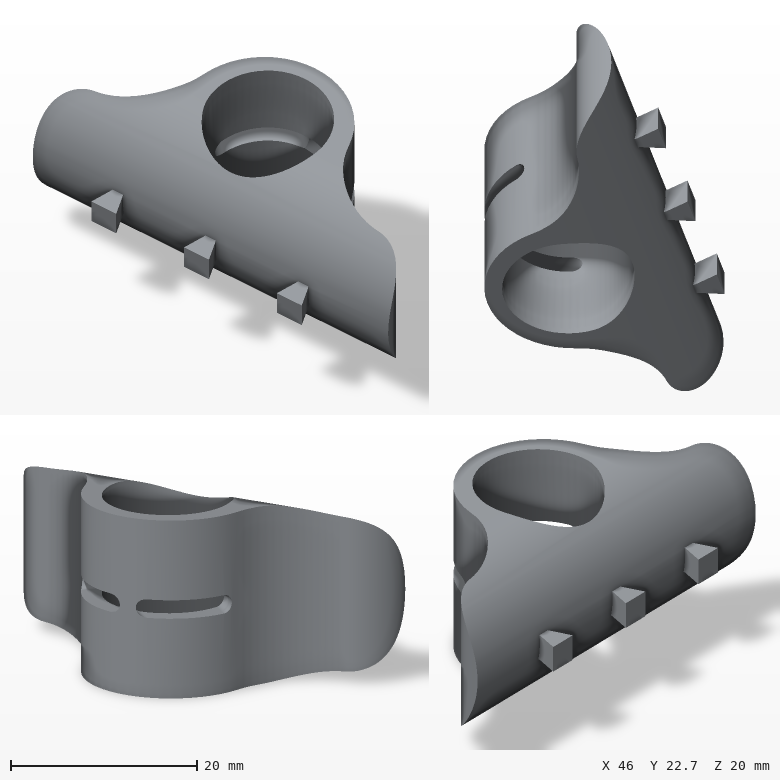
import cadquery as cq
import math

length = 46.0
height = 20.0
nose_radius = height / 2
front_y = -nose_radius

back_y = height / 2
ring_radius = 9.65
ring_center_y = back_y - ring_radius
bore_diameter = 14.2
bore_y = 1.0

flank_radius = 10.0
tip_radius = 5.05

peg_pitch = 12.0
peg_length = 2.65
peg_root_width = 1.4
peg_end_width = 3.2
peg_height = 3.1
peg_z = -0.5
peg_embed = 0.45

slot_width = 2.05
slot_length = 10.4
slot_offset = 1.15
slot_angle = 45.0
slot_reach = 18.4


def flank_center():
    """Centre of the hollow arc that is tangent to both the ring and the wing tip."""
    ring_distance = ring_radius + flank_radius
    tip_distance = tip_radius + flank_radius
    tip_x = length / 2 - tip_radius
    span_y = ring_center_y - front_y
    span = math.hypot(tip_x, span_y)
    along = (tip_distance**2 - ring_distance**2 + span**2) / (2 * span)
    across = math.sqrt(tip_distance**2 - along**2)
    unit_x = -tip_x / span
    unit_y = span_y / span
    return (tip_x + along * unit_x + across * unit_y, front_y + along * unit_y - across * unit_x)


def toward(start, target, distance):
    """Point at the given distance from start, in the direction of target."""
    scale = distance / math.dist(start, target)
    return (start[0] + scale * (target[0] - start[0]), start[1] + scale * (target[1] - start[1]))


def mirrored(point):
    return (-point[0], point[1])


def make_body():
    """Bell-shaped outline extruded along Z, with its front half rounded about the X axis."""
    ring_center = (0, ring_center_y)
    tip_center = (length / 2 - tip_radius, front_y)
    flank = flank_center()
    ring_joint = toward(ring_center, flank, ring_radius)
    tip_joint = toward(tip_center, flank, tip_radius)
    chord_middle = ((ring_joint[0] + tip_joint[0]) / 2, (ring_joint[1] + tip_joint[1]) / 2)
    flank_middle = toward(flank, chord_middle, flank_radius)
    tip_end = (length / 2, front_y)
    tip_chord_middle = ((tip_joint[0] + tip_end[0]) / 2, (tip_joint[1] + tip_end[1]) / 2)
    tip_middle = toward(tip_center, tip_chord_middle, tip_radius)
    outline = (
        cq.Workplane("XY", origin=(0, 0, -height / 2))
        .moveTo(*tip_end)
        .threePointArc(tip_middle, tip_joint)
        .threePointArc(flank_middle, ring_joint)
        .threePointArc((0, back_y), mirrored(ring_joint))
        .threePointArc(mirrored(flank_middle), mirrored(tip_joint))
        .threePointArc(mirrored(tip_middle), mirrored(tip_end))
        .close()
        .extrude(height)
    )
    side_envelope = (
        cq.Workplane("YZ", origin=(-length / 2, 0, 0))
        .moveTo(0, nose_radius)
        .lineTo(back_y, nose_radius)
        .lineTo(back_y, -nose_radius)
        .lineTo(0, -nose_radius)
        .threePointArc((front_y, 0), (0, nose_radius))
        .close()
        .extrude(length)
    )
    return outline.intersect(side_envelope)


def make_bore():
    return (
        cq.Workplane("XY", origin=(0, bore_y, -height / 2))
        .circle(bore_diameter / 2)
        .extrude(height)
    )


def make_slot(side):
    """Round-ended slot running from the bore out through the ring on one side (+1 or -1 in X)."""
    angle = math.radians(slot_angle)
    direction = (side * math.cos(angle), math.sin(angle), 0)
    sideways = (-side * math.sin(angle), math.cos(angle), 0)
    shift = slot_offset - bore_y * sideways[1]
    origin = (shift * sideways[0], bore_y + shift * sideways[1], 0)
    plane = cq.Plane(origin=origin, xDir=sideways, normal=direction)
    return cq.Workplane(plane).slot2D(slot_length, slot_width).extrude(slot_reach)


def make_peg(x):
    """Dovetail peg on a short straight root, widening away from the body."""
    root_half = peg_root_width / 2
    end_half = peg_end_width / 2
    inner_y = front_y + peg_embed
    end_y = front_y - peg_length
    return (
        cq.Workplane("XY", origin=(x, 0, peg_z - peg_height / 2))
        .moveTo(-root_half, inner_y)
        .lineTo(root_half, inner_y)
        .lineTo(root_half, front_y)
        .lineTo(end_half, end_y)
        .lineTo(-end_half, end_y)
        .lineTo(-root_half, front_y)
        .close()
        .extrude(peg_height)
    )


result = make_body().cut(make_bore())
for side in (-1, 1):
    result = result.cut(make_slot(side))
for index in (-1, 0, 1):
    result = result.union(make_peg(index * peg_pitch))